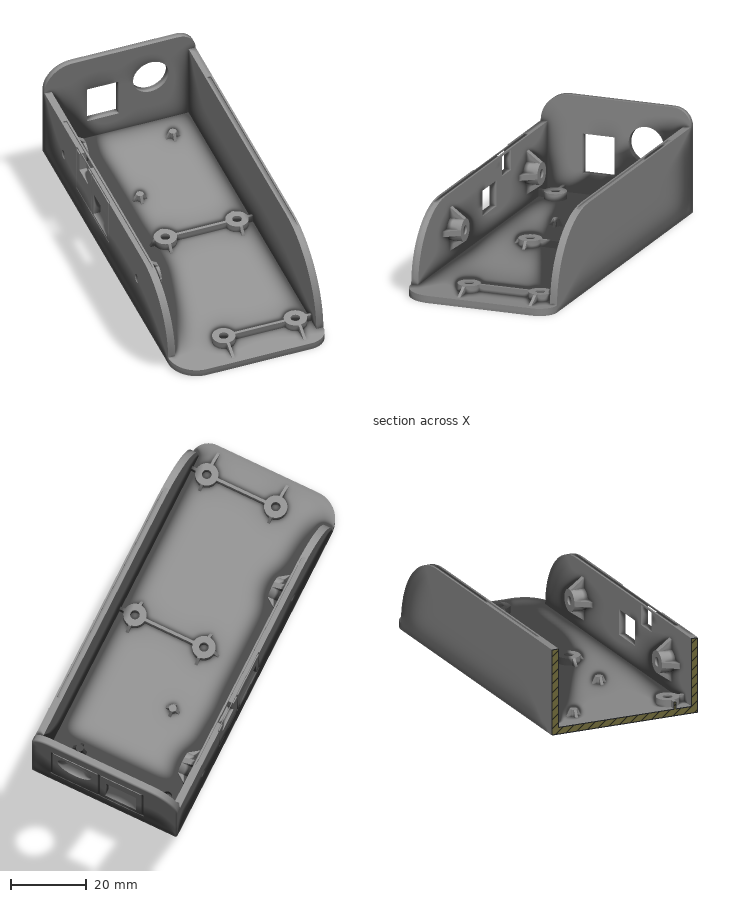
import cadquery as cq
import math

length = 101.5
width = 42.8
wall = 2.0
front_wall_height = 21.0
back_wall_height = 24.0
end_wall_height = 29.0
edge_radius = 0.5

front_corner_radius = end_wall_height - front_wall_height
back_corner_radius = end_wall_height - back_wall_height

arc_center_x = length - front_corner_radius - (front_wall_height - wall)

groove_start = 14.4
groove_width = 1.0
groove_depth = 0.5

frame_depth = 0.3

front_panel_x = (25.4, 49.8)
front_panel_z = (7.0, front_wall_height)
front_cells_x = ((25.8, 36.3), (36.9, 49.4))
front_cells_z = (7.3, front_wall_height - groove_depth)
front_openings = (
    ((27.75, 34.25), (15.0, front_wall_height - groove_depth)),
    ((38.1, 48.1), (7.9, 15.0)),
)

end_panel_y = (9.8, 37.1)
end_panel_z = (5.0, 24.0)
end_cells_y = ((10.4, 22.5), (23.3, 36.5))
end_cells_z = (5.6, 23.4)
end_opening_y = (12.0, 21.0)
end_opening_z = (7.7, 18.7)
round_opening_diameter = 10.05
round_opening_y = 30.1
round_opening_z = 17.6

screw_hole_diameter = 2.53
post_diameter = 6.2
post_top = 4.0
rib_width = 0.8
near_rib_flat_end = 3.3
near_rib_tip = 4.8
short_rib_tip = 4.4
post_columns_x = (49.3, 92.5)
post_rows_y = (16.1, 36.4)
corner_post_x = 8.1
corner_post_y = 6.7
long_rib_flat_end = 96.4
long_rib_tip = 99.8

pin_diameter = 2.0
pin_rib_reach = 2.0
pin_places = ((9.85, 33.35), (30.55, 16.1))

side_boss_diameter = 6.2
side_boss_length = 4.0
side_boss_places_x = (16.15, 70.15)
side_boss_z = 11.0
gusset_width = 1.5
gusset_reach = 6.0


def box(x_range, y_range, z_range):
    """Axis-aligned box between the given limits."""
    size = [limits[1] - limits[0] for limits in (x_range, y_range, z_range)]
    corner = (x_range[0], y_range[0], z_range[0])
    return cq.Workplane("XY").box(*size, centered=False).translate(corner)


def make_floor():
    floor = box((0, length), (0, width), (0, wall))
    floor = floor.edges("|Z and >X and <Y").fillet(front_corner_radius)
    return floor.edges("|Z and >X and >Y").fillet(back_corner_radius)


def make_side_wall(height, outer_y, inner_y):
    """Side wall whose far end is a quarter circle running down to the floor."""
    radius = height - wall
    diagonal = radius * math.sqrt(0.5)
    outline = (
        cq.Workplane("XZ")
        .moveTo(0, 0)
        .lineTo(0, height)
        .lineTo(arc_center_x, height)
        .threePointArc(
            (arc_center_x + diagonal, wall + diagonal),
            (arc_center_x + radius, wall),
        )
        .lineTo(arc_center_x, 0)
        .close()
    )
    near_y = min(outer_y, inner_y)
    return outline.extrude(-wall).translate((0, near_y, 0))


def make_end_wall():
    end = box((0, wall), (0, width), (0, end_wall_height))
    end = end.edges("|X and >Z and <Y").fillet(front_corner_radius)
    return end.edges("|X and >Z and >Y").fillet(back_corner_radius)


def make_groove(height, wall_middle_y):
    half = groove_width / 2
    return box(
        (groove_start, length),
        (wall_middle_y - half, wall_middle_y + half),
        (height - groove_depth, height),
    )


def make_front_frame():
    """Engraved border around the two cells of the front wall panel."""
    depth = (0, frame_depth)
    frame = box(front_panel_x, depth, front_panel_z)
    for cell_x in front_cells_x:
        frame = frame.cut(box(cell_x, depth, front_cells_z))
    return frame


def make_end_frame():
    """Engraved border around the two cells of the end wall panel."""
    depth = (0, frame_depth)
    frame = box(depth, end_panel_y, end_panel_z)
    for cell_y in end_cells_y:
        frame = frame.cut(box(depth, cell_y, end_cells_z))
    return frame


def make_round_opening():
    return (
        cq.Workplane("YZ")
        .center(round_opening_y, round_opening_z)
        .circle(round_opening_diameter / 2)
        .extrude(wall)
    )


def make_rib(flat_end, tip, rise, thickness):
    """Rib along +X from the origin: level top to flat_end, then sloping to zero at tip."""
    outline = cq.Workplane("XZ").polyline([(0, 0), (0, rise), (flat_end, rise), (tip, 0)])
    return outline.close().extrude(thickness / 2, both=True)


def make_floor_rib(x, y, angle, flat_end, tip):
    rib = make_rib(flat_end, tip, post_top - wall, rib_width)
    return rib.rotate((0, 0, 0), (0, 0, 1), angle).translate((x, y, wall))


def make_level_rib(x_range, y_range):
    """Rib of constant height between posts or from a post to a wall."""
    return box(x_range, y_range, (wall, post_top))


def make_upright(x, y, diameter):
    return cq.Workplane("XY", origin=(x, y, wall)).circle(diameter / 2).extrude(post_top - wall)


def make_post_hole(x, y):
    return make_upright(x, y, screw_hole_diameter)


def make_post_grid():
    """Four posts in two columns, each column joined by a rib that runs to the back wall."""
    post_radius = post_diameter / 2
    front_row = post_rows_y[0]
    near_column, far_column = post_columns_x
    half_rib = rib_width / 2
    grid = make_floor_rib(near_column, front_row, -90, post_radius, short_rib_tip)
    for x in post_columns_x:
        grid = grid.union(make_level_rib((x - half_rib, x + half_rib), (front_row, width - wall)))
        for y in post_rows_y:
            grid = grid.union(make_upright(x, y, post_diameter))
    for y in post_rows_y:
        for angle in (0, 180):
            grid = grid.union(make_floor_rib(near_column, y, angle, near_rib_flat_end, near_rib_tip))
        grid = grid.union(make_floor_rib(far_column, y, 180, post_radius, short_rib_tip))
        long_rib = make_floor_rib(
            far_column, y, 0, long_rib_flat_end - far_column, long_rib_tip - far_column
        )
        grid = grid.union(long_rib)
    return grid


def make_corner_post():
    """Post tied to the end wall and to the front wall."""
    half_rib = rib_width / 2
    rib_to_end = make_level_rib(
        (wall, corner_post_x), (corner_post_y - half_rib, corner_post_y + half_rib)
    )
    rib_to_front = make_level_rib(
        (corner_post_x - half_rib, corner_post_x + half_rib), (wall, corner_post_y)
    )
    post = make_upright(corner_post_x, corner_post_y, post_diameter)
    return post.union(rib_to_end).union(rib_to_front)


def make_pin(x, y):
    pin = make_upright(x, y, pin_diameter)
    for angle in (0, 90, 180, 270):
        pin = pin.union(make_floor_rib(x, y, angle, pin_diameter / 2, pin_rib_reach))
    return pin


def make_side_boss(x):
    """Boss on the inner face of the front wall with four gussets around it."""
    boss = cq.Workplane("XY").circle(side_boss_diameter / 2).extrude(side_boss_length)
    gusset = make_rib(side_boss_diameter / 2, gusset_reach, side_boss_length, gusset_width)
    for angle in (0, 90, 180, 270):
        boss = boss.union(gusset.rotate((0, 0, 0), (0, 0, 1), angle))
    return boss.rotate((0, 0, 0), (1, 0, 0), -90).translate((x, wall, side_boss_z))


def make_side_hole(x):
    """Screw hole through the front wall and the boss behind it."""
    hole = cq.Workplane("XZ", origin=(x, 0, side_boss_z)).circle(screw_hole_diameter / 2)
    return hole.extrude(-(wall + side_boss_length))


shell = make_floor()
shell = shell.union(make_side_wall(front_wall_height, 0, wall))
shell = shell.union(make_side_wall(back_wall_height, width, width - wall))
shell = shell.union(make_end_wall())
shell = shell.faces("<X").edges("not <Z").fillet(edge_radius)

body = shell.union(make_post_grid()).union(make_corner_post())
for pin_x, pin_y in pin_places:
    body = body.union(make_pin(pin_x, pin_y))
for boss_x in side_boss_places_x:
    body = body.union(make_side_boss(boss_x))

body = body.cut(make_groove(front_wall_height, wall / 2))
body = body.cut(make_groove(back_wall_height, width - wall / 2))
body = body.cut(make_front_frame()).cut(make_end_frame())
for opening_x, opening_z in front_openings:
    body = body.cut(box(opening_x, (0, wall), opening_z))
body = body.cut(box((0, wall), end_opening_y, end_opening_z))
body = body.cut(make_round_opening())
for post_x in post_columns_x:
    for post_y in post_rows_y:
        body = body.cut(make_post_hole(post_x, post_y))
body = body.cut(make_post_hole(corner_post_x, corner_post_y))
for boss_x in side_boss_places_x:
    body = body.cut(make_side_hole(boss_x))

result = body